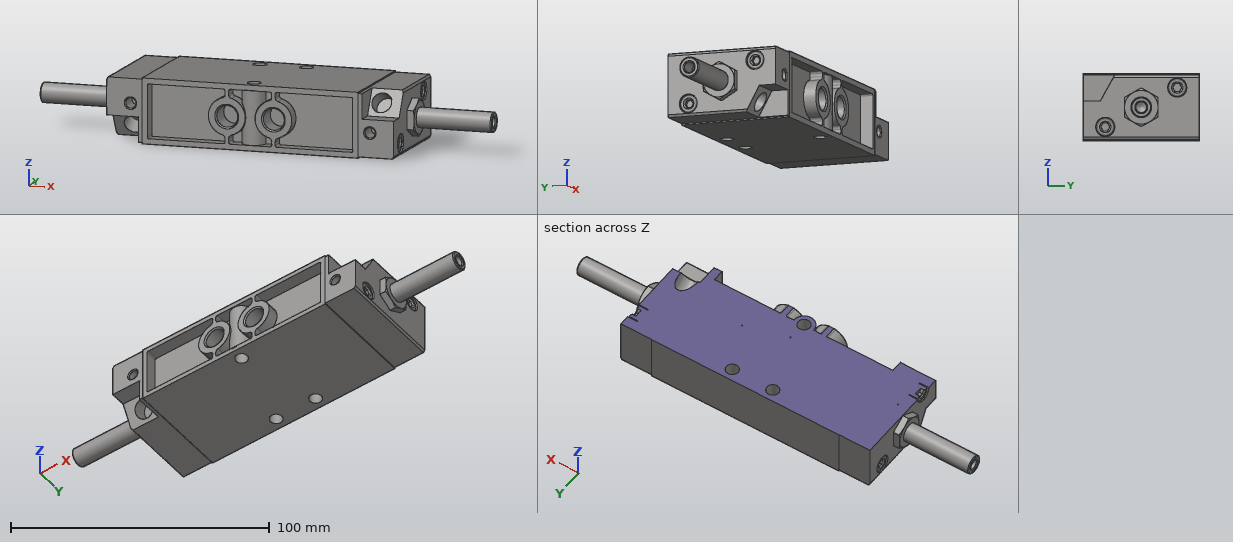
import cadquery as cq
import math

BODY_LENGTH = 88.0
BODY_WIDTH = 45.0
BODY_HEIGHT = 26.0
FRONT_Y = -BODY_WIDTH / 2

CAP_LENGTH = 14.5
CAP_WIDTH = 44.8
CAP_FRONT_Y = -CAP_WIDTH / 2
CAP_HEIGHT = 25.0
CAP_END_X = BODY_LENGTH / 2 + CAP_LENGTH
CAP_CHAMFER_X = 0.6
CAP_CHAMFER_Z = 1.0

POCKET_WALL = 2.2
POCKET_DEPTH = 5.1
POCKET_FILLET = 0.5
POCKET_LENGTH = BODY_LENGTH - 2 * POCKET_WALL
POCKET_HEIGHT = BODY_HEIGHT - 2 * POCKET_WALL
PORT_SPACING = 19.0
PORT_BOSS_DIAMETER = 15.0
PORT_DIAMETER = 8.57
PORT_MOUTH_DIAMETER = 9.7
PORT_DEPTH = 9.0
RIB_THICKNESS = 1.5
RIB_WALL_FILLET = 0.8
RIB_BOSS_FILLET = 1.5

MOUNT_DIAMETER = 5.3
MOUNT_Y = 17.5
MOUNT_BOSS_DIAMETER = 9.4

ROD_END_X = 92.0
ROD_DIAMETER = 8.0
ROD_CHAMFER = 0.4
NUT_ACROSS_FLATS = 13.0
NUT_THICKNESS = 3.0
NUT_CHAMFER_ANGLE = 20.0

TAP_DIAMETER = 4.13
TAP_MOUTH_DIAMETER = 5.0
TAP_DEPTH = 8.0
TAP_POINT_ANGLE = 118.0
CAP_TAP_X = 48.8
CAP_TAP_Z = 2.75

NOTCH_FLANGE = 1.6
NOTCH_EDGE_Y = -15.75
NOTCH_EDGE_Z = -2.5
NOTCH_SLOPE = 61.0
NOTCH_HOLE_DIAMETER = 8.0
NOTCH_HOLE_DEPTH = 7.0
NOTCH_HOLE_X = 50.5
NOTCH_HOLE_Z = -7.5

SCREW_Y = 13.9
SCREW_Z = 7.6
SCREW_POCKET_DIAMETER = 7.4
SCREW_POCKET_DEPTH = 4.4
SCREW_HEAD_DIAMETER = 7.0
SCREW_HEAD_HEIGHT = 4.0
SCREW_HEAD_FILLET = 0.4
SOCKET_ACROSS_FLATS = 3.0
SOCKET_MOUTH_DIAMETER = 4.4
SOCKET_DEPTH = 2.0


def box(x_range, y_range, z_range):
    """Box between the given pairs of limits."""
    lows, highs = zip(x_range, y_range, z_range)
    sizes = [high - low for low, high in zip(lows, highs)]
    return cq.Workplane("XY").box(*sizes, centered=False).translate(lows)


def cylinder(diameter, length, start, direction):
    """Cylinder that runs from a start point along a direction."""
    return cq.Workplane(cq.Solid.makeCylinder(diameter / 2, length, cq.Vector(*start), cq.Vector(*direction)))


def hexagon(across_flats, length):
    """Hexagonal prism along +X from the YZ plane, with two corners on the Y axis."""
    across_corners = across_flats / math.cos(math.radians(30))
    return cq.Workplane("YZ").polygon(6, across_corners).extrude(length)


def mouth(diameter, mouth_diameter, start, direction):
    """45 degree countersink that opens a hole to its mouth diameter."""
    depth = (mouth_diameter - diameter) / 2
    radius = diameter / 2
    cone = cq.Solid.makeCone(radius + depth, radius, depth, cq.Vector(*start), cq.Vector(*direction))
    return cq.Workplane(cone)


def tapped_hole(start, direction):
    """Drilled blind hole with a countersunk mouth and a conical bottom."""
    radius = TAP_DIAMETER / 2
    tip_depth = radius / math.tan(math.radians(TAP_POINT_ANGLE / 2))
    bottom = cq.Vector(*start) + cq.Vector(*direction) * TAP_DEPTH
    tip = cq.Workplane(cq.Solid.makeCone(radius, 0, tip_depth, bottom, cq.Vector(*direction)))
    drill = cylinder(TAP_DIAMETER, TAP_DEPTH, start, direction).union(tip)
    return drill.union(mouth(TAP_DIAMETER, TAP_MOUTH_DIAMETER, start, direction))


def rib_edges(pocket, lowest, highest):
    """Upright pocket edges beside the ribs, at heights between the two limits."""
    reach = PORT_BOSS_DIAMETER / 4
    beside_rib = pocket.edges("|Y").filter(lambda edge: abs(abs(edge.Center().x) - PORT_SPACING / 2) < reach)
    return beside_rib.filter(lambda edge: lowest < abs(edge.Center().z) < highest)


def front_pocket():
    """Volume removed from the front face, leaving the bosses and ribs standing."""
    floor_y = FRONT_Y + POCKET_DEPTH
    depth_range = (FRONT_Y, floor_y)
    half_length = POCKET_LENGTH / 2
    half_height = POCKET_HEIGHT / 2
    pocket = box((-half_length, half_length), depth_range, (-half_height, half_height))
    pocket = pocket.edges("|Y").fillet(POCKET_FILLET)
    for x in (-PORT_SPACING / 2, PORT_SPACING / 2):
        rib_range = (x - RIB_THICKNESS / 2, x + RIB_THICKNESS / 2)
        pocket = pocket.cut(cylinder(PORT_BOSS_DIAMETER, POCKET_DEPTH, (x, FRONT_Y, 0), (0, 1, 0)))
        pocket = pocket.cut(box(rib_range, depth_range, (-half_height, half_height)))
    boss_radius = PORT_BOSS_DIAMETER / 2
    rib_middle = (boss_radius + half_height) / 2
    pocket = rib_edges(pocket, rib_middle, BODY_HEIGHT / 2).fillet(RIB_WALL_FILLET)
    pocket = rib_edges(pocket, boss_radius / 2, rib_middle).fillet(RIB_BOSS_FILLET)
    boss_start = (0, -MOUNT_Y, -half_height)
    return pocket.cut(cylinder(MOUNT_BOSS_DIAMETER, POCKET_HEIGHT, boss_start, (0, 0, 1)))


def valve_body():
    """Centre block with pocket, ports and mounting holes."""
    body = cq.Workplane("XY").box(BODY_LENGTH, BODY_WIDTH, BODY_HEIGHT).cut(front_pocket())
    inward = (0, 1, 0)
    for x in (-PORT_SPACING / 2, PORT_SPACING / 2):
        start = (x, FRONT_Y, 0)
        body = body.cut(cylinder(PORT_DIAMETER, PORT_DEPTH, start, inward))
        body = body.cut(mouth(PORT_DIAMETER, PORT_MOUTH_DIAMETER, start, inward))
    mount_points = [(-PORT_SPACING / 2, MOUNT_Y), (PORT_SPACING / 2, MOUNT_Y), (0, -MOUNT_Y)]
    for x, y in mount_points:
        body = body.cut(cylinder(MOUNT_DIAMETER, BODY_HEIGHT, (x, y, -BODY_HEIGHT / 2), (0, 0, 1)))
    return body


def cap_block():
    """Left cap, chamfered along the top and bottom of its end face."""
    inner_x = -BODY_LENGTH / 2
    half_height = CAP_HEIGHT / 2
    outline = [
        (inner_x, -half_height),
        (-CAP_END_X + CAP_CHAMFER_X, -half_height),
        (-CAP_END_X, -half_height + CAP_CHAMFER_Z),
        (-CAP_END_X, half_height - CAP_CHAMFER_Z),
        (-CAP_END_X + CAP_CHAMFER_X, half_height),
        (inner_x, half_height),
    ]
    return cq.Workplane("XZ").polyline(outline).close().extrude(CAP_WIDTH / 2, both=True)


def corner_notch():
    """Notch in the lower front corner of the left cap, with its angled hole."""
    angle = math.radians(NOTCH_SLOPE)
    bottom_z = -CAP_HEIGHT / 2
    slope_run = (NOTCH_EDGE_Z - bottom_z) / math.tan(angle)
    outline = [
        (CAP_FRONT_Y, NOTCH_EDGE_Z),
        (NOTCH_EDGE_Y, NOTCH_EDGE_Z),
        (NOTCH_EDGE_Y + slope_run, bottom_z),
        (CAP_FRONT_Y, bottom_z),
    ]
    length = CAP_LENGTH - NOTCH_FLANGE
    notch = cq.Workplane("YZ").polyline(outline).close().extrude(length).translate((-CAP_END_X, 0, 0))
    hole_y = NOTCH_EDGE_Y + (NOTCH_EDGE_Z - NOTCH_HOLE_Z) / math.tan(angle)
    start = (-NOTCH_HOLE_X, hole_y, NOTCH_HOLE_Z)
    inward = (0, math.sin(angle), math.cos(angle))
    return notch.union(cylinder(NOTCH_HOLE_DIAMETER, NOTCH_HOLE_DEPTH, start, inward))


def sunk_screw(cap, y, z):
    """Sink a socket-head screw into the end face of the left cap."""
    inward = (1, 0, 0)
    floor_x = -CAP_END_X + SCREW_POCKET_DEPTH
    head_x = floor_x - SCREW_HEAD_HEIGHT
    head = cylinder(SCREW_HEAD_DIAMETER, SCREW_HEAD_HEIGHT, (head_x, y, z), inward)
    head = head.faces("<X").edges().fillet(SCREW_HEAD_FILLET)
    socket = hexagon(SOCKET_ACROSS_FLATS, SOCKET_DEPTH).translate((head_x, y, z))
    cap = cap.cut(cylinder(SCREW_POCKET_DIAMETER, SCREW_POCKET_DEPTH, (-CAP_END_X, y, z), inward))
    head = head.cut(socket).cut(mouth(SOCKET_ACROSS_FLATS, SOCKET_MOUTH_DIAMETER, (head_x, y, z), inward))
    return cap.union(head)


def nut_cone():
    """Cone that trims the corners of the nut around its outer face."""
    face_radius = NUT_ACROSS_FLATS / 2
    flare = NUT_THICKNESS / math.tan(math.radians(NUT_CHAMFER_ANGLE))
    start = cq.Vector(-CAP_END_X - NUT_THICKNESS, 0, 0)
    cone = cq.Solid.makeCone(face_radius, face_radius + flare, NUT_THICKNESS, start, cq.Vector(1, 0, 0))
    return cq.Workplane(cone)


def rod_and_nut():
    """Rod of the left cap, with its hexagon lock nut and tapped end."""
    inward = (1, 0, 0)
    rod_length = ROD_END_X - CAP_END_X
    rod = cylinder(ROD_DIAMETER, rod_length, (-ROD_END_X, 0, 0), inward)
    rod = rod.faces("<X").chamfer(ROD_CHAMFER)
    nut = hexagon(NUT_ACROSS_FLATS, NUT_THICKNESS)
    nut = nut.rotate((0, 0, 0), (1, 0, 0), 90).translate((-CAP_END_X - NUT_THICKNESS, 0, 0))
    nut = nut.intersect(nut_cone())
    return rod.union(nut).cut(tapped_hole((-ROD_END_X, 0, 0), inward))


def left_end():
    """Complete left end: cap, screws, rod and nut."""
    cap = cap_block().cut(corner_notch())
    cap = cap.cut(tapped_hole((-CAP_TAP_X, CAP_FRONT_Y, CAP_TAP_Z), (0, 1, 0)))
    for side in (-1, 1):
        cap = sunk_screw(cap, side * SCREW_Y, -side * SCREW_Z)
    return cap.union(rod_and_nut())


end = left_end()
result = valve_body().union(end).union(end.rotate((0, 0, 0), (0, 1, 0), 180))